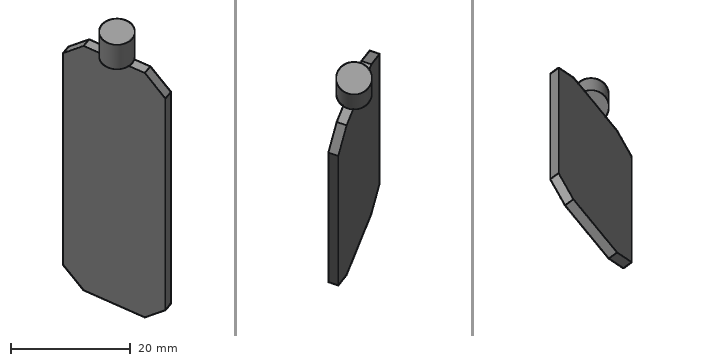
import cadquery as cq

total_height = 66.0
plate_width = 20.0
plate_thickness = 1.8
corner_chamfer = 4.0
pin_diameter = 6.0
pin_height = 6.0

plate_height = total_height - pin_height

plate = (
    cq.Workplane("XY")
    .box(plate_width, plate_thickness, plate_height, centered=(True, True, False))
    .edges("|Y")
    .chamfer(corner_chamfer)
)

pin = (
    cq.Workplane("XY")
    .workplane(offset=plate_height)
    .circle(pin_diameter / 2)
    .extrude(pin_height)
)

result = plate.union(pin)